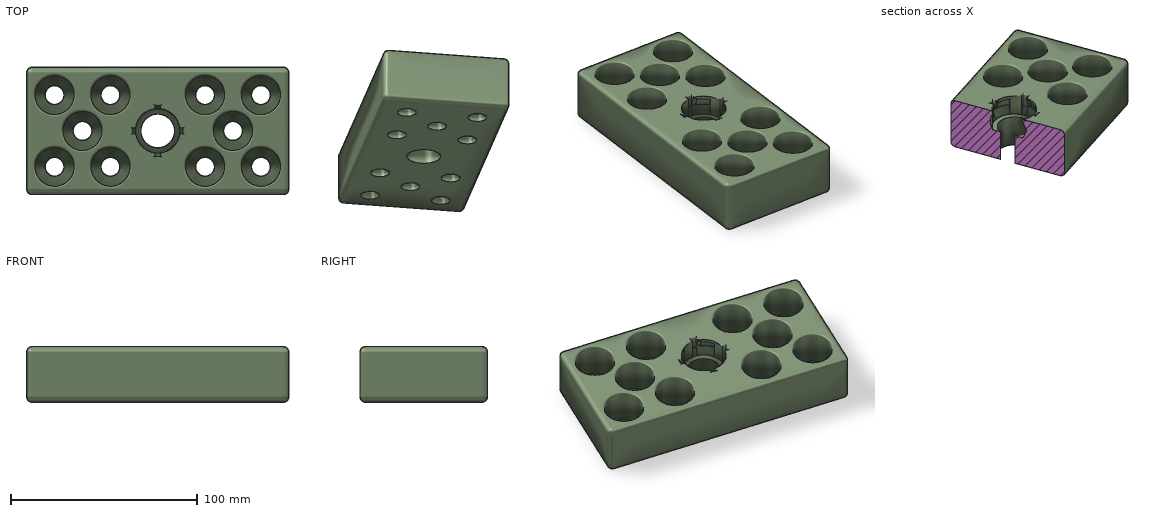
import cadquery as cq
import math

LENGTH = 140.8
WIDTH = 68.5
HEIGHT = 30.0
EDGE_RADIUS = 3.0

HOLE_EDGE_DISTANCE = 15.0
HOLE_PITCH_X = 30.0
BORE_DIAMETER = 21.0
BORE_RIM_RADIUS = 1.0
BORE_DEPTH = 20.0
SCREW_DIAMETER = 10.0
SEAT_ANGLE = 90.0

SOCKET_DIAMETER = 23.77
SOCKET_DEPTH = 12.0
SOCKET_RIM_RADIUS = 0.5
THROUGH_DIAMETER = 18.0
KEY_COUNT = 4
KEY_WIDTH = 3.0
KEY_REACH = 13.65

LIP_DEPTH = 2.2
GROOVE_REACH = 13.75
GROOVE_FLOOR_ANGLE = 70.0
LOCK_ANGLE = 45.0
ENTRY_ANGLE = 17.0
ENTRY_RISE = 0.8

SOCKET_RADIUS = SOCKET_DIAMETER / 2
SOCKET_FLOOR = HEIGHT - SOCKET_DEPTH
FLOOR_SLOPE = math.tan(math.radians(GROOVE_FLOOR_ANGLE))
START_ANGLE = math.degrees(math.asin(KEY_WIDTH / 2 / KEY_REACH))
STOP_ANGLE = LOCK_ANGLE + math.degrees(math.asin(KEY_WIDTH / 2 / SOCKET_RADIUS))

ORIGIN = (0, 0, 0)
UP = (0, 0, 1)


def make_block():
    """Block resting on Z = 0, with every edge rounded."""
    block = cq.Workplane("XY").box(LENGTH, WIDTH, HEIGHT, centered=(True, True, False))
    return block.edges().fillet(EDGE_RADIUS)


def screw_hole_centres():
    """Centres of both groups of five screw holes."""
    outer_x = LENGTH / 2 - HOLE_EDGE_DISTANCE
    inner_x = outer_x - HOLE_PITCH_X
    middle_x = (outer_x + inner_x) / 2
    row_y = WIDTH / 2 - HOLE_EDGE_DISTANCE
    centres = []
    for side in (-1, 1):
        centres.append((side * middle_x, 0))
        for x in (inner_x, outer_x):
            for y in (-row_y, row_y):
                centres.append((side * x, y))
    return centres


def make_screw_hole():
    """Turned cutter: round-rimmed bore, conical seat and screw clearance hole."""
    bore_radius = BORE_DIAMETER / 2
    screw_radius = SCREW_DIAMETER / 2
    seat_top = HEIGHT - BORE_DEPTH
    seat_height = (bore_radius - screw_radius) / math.tan(math.radians(SEAT_ANGLE / 2))
    outline = (
        cq.Workplane("XZ")
        .lineTo(screw_radius, 0)
        .lineTo(screw_radius, seat_top - seat_height)
        .lineTo(bore_radius, seat_top)
        .lineTo(bore_radius, HEIGHT - BORE_RIM_RADIUS)
        .radiusArc((bore_radius + BORE_RIM_RADIUS, HEIGHT), BORE_RIM_RADIUS)
        .lineTo(0, HEIGHT)
        .close()
    )
    return outline.revolve(360, ORIGIN, (0, 1, 0))


def make_socket_bore():
    """Cutter for the round socket and the through hole in its floor."""
    through_hole = cq.Workplane("XY").circle(THROUGH_DIAMETER / 2).extrude(HEIGHT)
    socket = cq.Workplane("XY").workplane(offset=SOCKET_FLOOR).circle(SOCKET_RADIUS).extrude(SOCKET_DEPTH)
    return through_hole.union(socket)


def sloping_floor_height(radius):
    """Height of the sloping floor shared by the slots and grooves, which rises outwards."""
    return SOCKET_FLOOR + (radius - SOCKET_RADIUS) * FLOOR_SLOPE


def make_key_slot():
    """Cutter for the +X entry slot: open at the top, with a floor sloping to the socket floor."""
    outline = (
        cq.Workplane("XZ")
        .moveTo(0, SOCKET_FLOOR)
        .lineTo(SOCKET_RADIUS, SOCKET_FLOOR)
        .lineTo(KEY_REACH, sloping_floor_height(KEY_REACH))
        .lineTo(KEY_REACH, HEIGHT)
        .lineTo(0, HEIGHT)
        .close()
    )
    return outline.extrude(KEY_WIDTH / 2, both=True)


def make_groove(lip_depth, reach, end_angle):
    """Cutter for a V-shaped groove running clockwise from the side of the +X slot."""
    lip_bottom = HEIGHT - lip_depth
    outline = (
        cq.Workplane("XZ")
        .moveTo(0, SOCKET_FLOOR)
        .lineTo(SOCKET_RADIUS, SOCKET_FLOOR)
        .lineTo(reach, sloping_floor_height(reach))
        .lineTo(SOCKET_RADIUS, lip_bottom)
        .lineTo(0, lip_bottom)
        .close()
    )
    groove = outline.revolve(end_angle - START_ANGLE, ORIGIN, (0, -1, 0))
    return groove.rotate(ORIGIN, UP, -START_ANGLE)


def make_key_way():
    """Cutter for the +X slot with its locking groove and the taller groove entry."""
    entry_reach = GROOVE_REACH + ENTRY_RISE / 2 / FLOOR_SLOPE
    groove = make_groove(LIP_DEPTH, GROOVE_REACH, STOP_ANGLE)
    entry = make_groove(LIP_DEPTH - ENTRY_RISE, entry_reach, ENTRY_ANGLE)
    return make_key_slot().union(groove).union(entry)


def round_socket_rim(part):
    """Round the whole socket opening, slots included."""
    half_size = KEY_REACH + SOCKET_RIM_RADIUS
    rim = cq.selectors.BoxSelector(
        (-half_size, -half_size, HEIGHT - SOCKET_RIM_RADIUS),
        (half_size, half_size, HEIGHT + SOCKET_RIM_RADIUS),
        boundingbox=True,
    )
    return part.edges(rim).fillet(SOCKET_RIM_RADIUS)


result = make_block()
for x, y in screw_hole_centres():
    result = result.cut(make_screw_hole().translate((x, y, 0)))

result = result.cut(make_socket_bore())
for key in range(KEY_COUNT):
    result = result.cut(make_key_way().rotate(ORIGIN, UP, key * 360 / KEY_COUNT))

result = round_socket_rim(result)